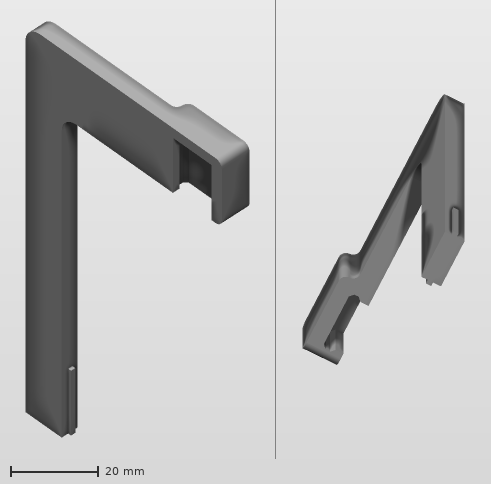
import cadquery as cq

total_width = 66.0
total_height = 120.0
total_depth = 8.8

plate_thickness = 5.0
leg_width = 12.0
arm_height = 20.0
elbow_radius = 5.0
tip_radius = 2.0

rib_height = 20.0
rib_projection = 1.0
rib_thickness = 1.3
rib_setback = 2.0

block_start = 45.7
block_step = total_depth - plate_thickness
step_radius = block_step / 2

pocket_width = 12.7
pocket_end_wall = 3.5
pocket_top_wall = 3.0
pocket_depth = plate_thickness
lip_thickness = 2.0
undercut = 1.0

leg_left = rib_projection
leg_right = leg_left + leg_width
arm_bottom = total_height - arm_height


def make_arm_profile():
    """L outline with rounded elbow and tip, through the full depth."""
    outline = [
        (leg_left, 0),
        (leg_right, 0),
        (leg_right, arm_bottom),
        (total_width, arm_bottom),
        (total_width, total_height),
        (leg_left, total_height),
    ]
    body = cq.Workplane("XZ").polyline(outline).close().extrude(-total_depth)
    for x, z, radius in (
        (leg_right, arm_bottom, elbow_radius),
        (leg_left, total_height, elbow_radius),
        (total_width, arm_bottom, tip_radius),
        (total_width, total_height, tip_radius),
    ):
        corner = cq.selectors.NearestToPointSelector((x, total_depth / 2, z))
        body = body.edges("|Y").edges(corner).fillet(radius)
    return body


def make_depth_profile():
    """Plan outline: thin plate rising through an S-shaped step to the block."""
    return (
        cq.Workplane("XY")
        .moveTo(leg_left, 0)
        .lineTo(total_width, 0)
        .lineTo(total_width, total_depth)
        .lineTo(block_start + step_radius, total_depth)
        .radiusArc((block_start, total_depth - step_radius), -step_radius)
        .radiusArc((block_start - step_radius, plate_thickness), step_radius)
        .lineTo(leg_left, plate_thickness)
        .close()
        .extrude(total_height)
    )


def make_pocket():
    """Pocket whose side walls have a 45-degree tapered groove behind the front lips."""
    right = total_width - pocket_end_wall
    left = right - pocket_width
    groove_front = lip_thickness + undercut
    groove_back = pocket_depth - undercut
    outline = [
        (left, 0),
        (right, 0),
        (right, lip_thickness),
        (right + undercut, groove_front),
        (right + undercut, groove_back),
        (right, pocket_depth),
        (left, pocket_depth),
        (left - undercut, groove_back),
        (left - undercut, groove_front),
        (left, lip_thickness),
    ]
    pocket_height = arm_height - pocket_top_wall
    return (
        cq.Workplane("XY", origin=(0, 0, arm_bottom))
        .polyline(outline).close().extrude(pocket_height)
    )


def make_ribs():
    """One bar through the foot, projecting equally on both sides."""
    return cq.Workplane("XY").box(
        leg_width + 2 * rib_projection, rib_thickness, rib_height, centered=False
    ).translate((0, rib_setback, 0))


result = make_arm_profile().intersect(make_depth_profile())
result = result.cut(make_pocket()).union(make_ribs())